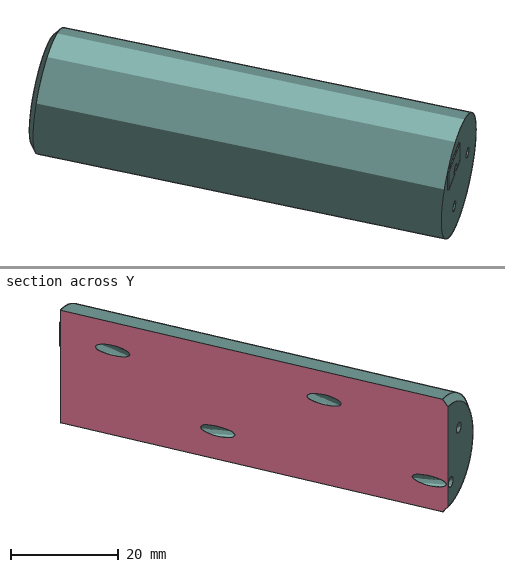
import cadquery as cq
import math

total_length = 80.0
body_diameter = 24.0
pad_height = 0.2
chamfer_length = 1.1
chamfer_depth = 1.4
body_length = total_length - pad_height
left_end = -total_length / 2
right_end = left_end + body_length

hole_count = 3
hole_diameter = 2.0
hole_circle_radius = 6.0
hole_start_angle = 19.5
helix_angle = 30.0
helix_pitch = math.pi * body_diameter / math.tan(math.radians(helix_angle))
hole_twist = 360 * total_length / helix_pitch

pad_width = 7.7
pad_tall = 4.9
pad_center_y = -pad_width / 2
pad_center_z = 6.7


def make_body():
    """Solid cylinder with a chamfered -X rim."""
    radius = body_diameter / 2
    profile = (
        cq.Workplane("XY")
        .moveTo(left_end, 0)
        .lineTo(left_end, radius - chamfer_depth)
        .lineTo(left_end + chamfer_length, radius)
        .lineTo(right_end, radius)
        .lineTo(right_end, 0)
        .close()
    )
    return profile.revolve(360, (0, 0, 0), (1, 0, 0))


def make_hole(angle):
    """Cutter for one helical hole, a circle swept along X while turning about the axis."""
    y = hole_circle_radius * math.cos(math.radians(angle))
    z = hole_circle_radius * math.sin(math.radians(angle))
    return (
        cq.Workplane("YZ", origin=(left_end, 0, 0))
        .pushPoints([(y, z)])
        .circle(hole_diameter / 2)
        .twistExtrude(total_length, hole_twist)
    )


def make_pad():
    """Thin raised rectangle standing on the +X end face."""
    return (
        cq.Workplane("YZ", origin=(right_end, pad_center_y, pad_center_z))
        .rect(pad_width, pad_tall)
        .extrude(pad_height)
    )


result = make_body().union(make_pad())
for index in range(hole_count):
    result = result.cut(make_hole(hole_start_angle + index * 360 / hole_count))